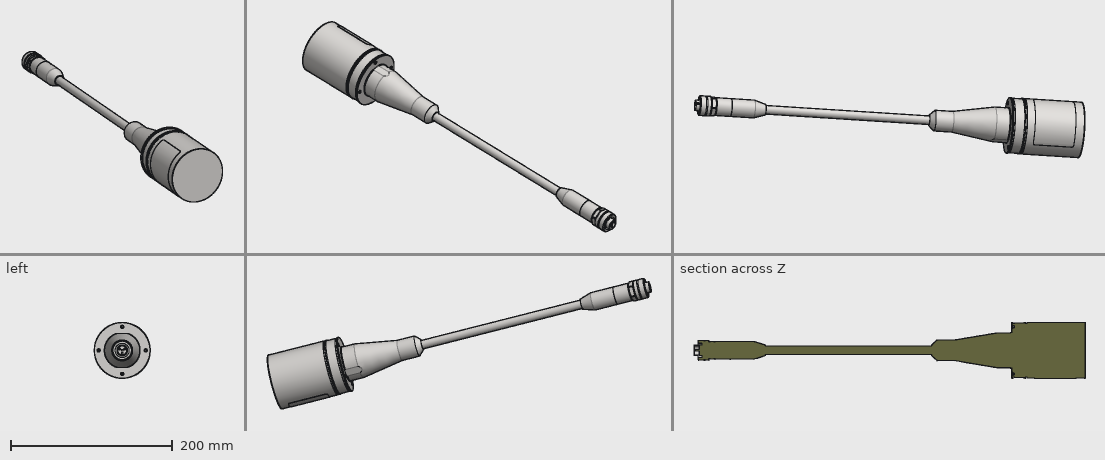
import cadquery as cq
import math


PLUG_DIAMETER = 13.38
PLUG_PROJECTION = 4.45
KEYWAY_WIDTH = 2.1
KEYWAY_DEPTH = 1.2
PLUG_BORE_DIAMETER = 11.0
PLUG_BORE_DEPTH = 6.0
PIN_DIAMETER = 2.1
PIN_CIRCLE_RADIUS = 3.4
PIN_RECESS = 1.0
OUTER_PIN_COUNT = 3
FIRST_PIN_ANGLE = 30

RING_DIAMETER = 24.7
RING_CHAMFER = 1.0
RING_BORE_DIAMETER = 17.5
RING_BORE_DEPTH = 5.0
RING_END = 18.2
RING_GROOVE_START = 12.0
RING_GROOVE_WIDTH = 1.6
RING_GROOVE_DEPTH = 0.5
NUT_SIDES = 6
NUT_ACROSS_FLATS = 22.0
NUT_NECK_DIAMETER = 21.0
NUT_START = RING_END + 1.2
NUT_END = 24.6

BODY_DIAMETER = 22.4
BODY_START = 25.6
BODY_SEAM = 44.3
SEAM_WIDTH = 0.3
SEAM_DEPTH = 0.1
BODY_TAPER_START = 73.5
BODY_END = 88.0
BODY_END_DIAMETER = 13.38
CABLE_DIAMETER = 11.0

RELIEF_START = 293.5
RELIEF_TIP_DIAMETER = 13.38
RELIEF_NECK_DIAMETER = 26.0
RELIEF_NECK_START = 300.2
RELIEF_CONE_START = 322.5
RELIEF_CONE_END = 374.8
RELIEF_DIAMETER = 43.4
LIP_DIAMETER = 44.6
LIP_WIDTH = 1.2
RELIEF_FLAT_DISTANCE = 42.3
RELIEF_FLAT_START = 360.0

TOTAL_LENGTH = 483.39
RIM_DIAMETER = 69.34
HEAD_DIAMETER = 69.0
COLLAR_DIAMETER = 67.9
FLANGE_START = 392.4
FLANGE_RIM_WIDTH = 1.7
GROOVE_DIAMETER = 66.4
GROOVE_WIDTH = 1.9
COLLAR_LENGTH = 11.7
HEAD_START = FLANGE_START + 2 * (FLANGE_RIM_WIDTH + GROOVE_WIDTH) + COLLAR_LENGTH
END_RIM_WIDTH = 1.0
EDGE_CHAMFER = 0.4

SCREW_DIAMETER = 4.13
SCREW_CIRCLE_RADIUS = 29.1
SCREW_DEPTH = 1.0
SCREW_COUNT = 4
SCREW_SOCKET_DIAMETER = 2.1
SCREW_SOCKET_DEPTH = 2.0

LABEL_RADIUS = 69.51 - RIM_DIAMETER / 2
LABEL_START = 420.9
LABEL_END = 471.8
LABEL_HALF_ANGLE = math.radians(60)
LABEL_HEIGHT = 2 * LABEL_RADIUS * math.sin(LABEL_HALF_ANGLE)
LABEL_CORNER_RADIUS = 2.0


def revolve_profile(steps):
    """Solid of revolution about X from (x, diameter) outline points."""
    outline = [(steps[0][0], 0)]
    outline += [(x, diameter / 2) for x, diameter in steps]
    outline.append((steps[-1][0], 0))
    return cq.Workplane("XY").polyline(outline).close().revolve(360, (0, 0, 0), (1, 0, 0))


def cylinder(start, end, diameter, y=0, z=0):
    return cq.Workplane("YZ", origin=(start, y, z)).circle(diameter / 2).extrude(end - start)


def groove(start, width, outer_diameter, depth):
    """Ring-shaped cutter leaving a groove of the given depth."""
    outer = cylinder(start, start + width, 2 * outer_diameter)
    return outer.cut(cylinder(start, start + width, outer_diameter - 2 * depth))


def circle_positions(count, radius, first_angle):
    """Points (y, z) evenly spaced on a circle; angles in degrees from +Y."""
    angles = [math.radians(first_angle + i * 360 / count) for i in range(count)]
    return [(radius * math.cos(a), radius * math.sin(a)) for a in angles]


def make_plug():
    """Hollow plug with a -Y keyway, one centre pin and a ring of outer pins."""
    plug = cylinder(0, PLUG_PROJECTION + RING_BORE_DEPTH, PLUG_DIAMETER)
    plug = plug.cut(cylinder(0, PLUG_BORE_DEPTH, PLUG_BORE_DIAMETER))
    keyway = cq.Workplane("XY").box(
        2 * PLUG_PROJECTION, 2 * KEYWAY_DEPTH, KEYWAY_WIDTH
    ).translate((0, -PLUG_DIAMETER / 2, 0))
    plug = plug.cut(keyway)
    pin_positions = [(0, 0)] + circle_positions(OUTER_PIN_COUNT, PIN_CIRCLE_RADIUS, FIRST_PIN_ANGLE)
    for y, z in pin_positions:
        plug = plug.union(cylinder(PIN_RECESS, PLUG_BORE_DEPTH + PIN_RECESS, PIN_DIAMETER, y, z))
    return plug


def make_coupling():
    """Grooved coupling ring around the plug, followed by a hexagon nut with turned corners."""
    ring = revolve_profile([
        (PLUG_PROJECTION, RING_DIAMETER - 2 * RING_CHAMFER),
        (PLUG_PROJECTION + RING_CHAMFER, RING_DIAMETER),
        (RING_END, RING_DIAMETER),
        (RING_END, NUT_NECK_DIAMETER),
        (BODY_START, NUT_NECK_DIAMETER),
    ])
    ring = ring.cut(cylinder(PLUG_PROJECTION, PLUG_PROJECTION + RING_BORE_DEPTH, RING_BORE_DIAMETER))
    ring = ring.cut(groove(RING_GROOVE_START, RING_GROOVE_WIDTH, RING_DIAMETER, RING_GROOVE_DEPTH))
    corner_diameter = NUT_ACROSS_FLATS / math.cos(math.pi / NUT_SIDES)
    nut = (
        cq.Workplane("YZ", origin=(NUT_START, 0, 0))
        .transformed(rotate=(0, 0, 90))
        .polygon(NUT_SIDES, corner_diameter)
        .extrude(NUT_END - NUT_START)
    )
    rounding = revolve_profile([
        (NUT_START, RING_DIAMETER),
        (NUT_END - RING_CHAMFER, RING_DIAMETER),
        (NUT_END, NUT_ACROSS_FLATS),
    ])
    return ring.union(nut.intersect(rounding))


def make_cable_and_body():
    """Connector body with its seam and taper, and the cable behind it."""
    body = revolve_profile([
        (BODY_START, BODY_DIAMETER),
        (BODY_TAPER_START, BODY_DIAMETER),
        (BODY_END, BODY_END_DIAMETER),
        (BODY_END, CABLE_DIAMETER),
        (RELIEF_START, CABLE_DIAMETER),
    ])
    return body.cut(groove(BODY_SEAM, SEAM_WIDTH, BODY_DIAMETER, SEAM_DEPTH))


def make_strain_relief():
    """Conical sleeve with flats at the top and bottom and a lip against the flange."""
    relief = revolve_profile([
        (RELIEF_START, RELIEF_TIP_DIAMETER),
        (RELIEF_NECK_START, RELIEF_NECK_DIAMETER),
        (RELIEF_CONE_START, RELIEF_NECK_DIAMETER),
        (RELIEF_CONE_END, RELIEF_DIAMETER),
        (FLANGE_START - LIP_WIDTH, RELIEF_DIAMETER),
        (FLANGE_START - LIP_WIDTH, LIP_DIAMETER),
        (FLANGE_START, LIP_DIAMETER),
    ])
    flat_length = FLANGE_START - RELIEF_FLAT_START
    for side in (1, -1):
        cutter = cq.Workplane("XY").box(flat_length, RELIEF_DIAMETER, RELIEF_DIAMETER)
        relief = relief.cut(cutter.translate((
            RELIEF_FLAT_START + flat_length / 2,
            0,
            side * (RELIEF_FLAT_DISTANCE + RELIEF_DIAMETER) / 2,
        )))
    return relief


def make_head():
    """Cylindrical head with a grooved flange, screw recesses and an end rim."""
    rim_end = FLANGE_START + FLANGE_RIM_WIDTH
    collar_start = rim_end + GROOVE_WIDTH
    collar_end = collar_start + COLLAR_LENGTH
    groove_start = HEAD_START - GROOVE_WIDTH
    end_rim_start = TOTAL_LENGTH - END_RIM_WIDTH
    head = revolve_profile([
        (FLANGE_START, RIM_DIAMETER - 2 * EDGE_CHAMFER),
        (FLANGE_START + EDGE_CHAMFER, RIM_DIAMETER),
        (rim_end, RIM_DIAMETER),
        (rim_end, GROOVE_DIAMETER),
        (collar_start, GROOVE_DIAMETER),
        (collar_start, COLLAR_DIAMETER),
        (collar_end, COLLAR_DIAMETER),
        (collar_end, RIM_DIAMETER),
        (groove_start, RIM_DIAMETER),
        (groove_start, GROOVE_DIAMETER),
        (HEAD_START, GROOVE_DIAMETER),
        (HEAD_START, HEAD_DIAMETER),
        (end_rim_start, HEAD_DIAMETER),
        (end_rim_start, RIM_DIAMETER),
        (TOTAL_LENGTH - EDGE_CHAMFER, RIM_DIAMETER),
        (TOTAL_LENGTH, RIM_DIAMETER - 2 * EDGE_CHAMFER),
    ])
    screw_floor = FLANGE_START + SCREW_DEPTH
    for y, z in circle_positions(SCREW_COUNT, SCREW_CIRCLE_RADIUS, 0):
        head = head.cut(cylinder(FLANGE_START, screw_floor, SCREW_DIAMETER, y, z))
        head = head.cut(cylinder(screw_floor, screw_floor + SCREW_SOCKET_DEPTH, SCREW_SOCKET_DIAMETER, y, z))
    return head


def make_label():
    """Thin rounded pad wrapped on the -Y side of the head."""
    length = LABEL_END - LABEL_START
    window = (
        cq.Workplane("XZ", origin=((LABEL_START + LABEL_END) / 2, 0, 0))
        .rect(length, LABEL_HEIGHT)
        .extrude(RIM_DIAMETER)
        .edges("|Y")
        .fillet(LABEL_CORNER_RADIUS)
    )
    return cylinder(LABEL_START, LABEL_END, 2 * LABEL_RADIUS).intersect(window)


result = (
    make_head()
    .union(make_label())
    .union(make_strain_relief())
    .union(make_cable_and_body())
    .union(make_coupling())
    .union(make_plug())
)